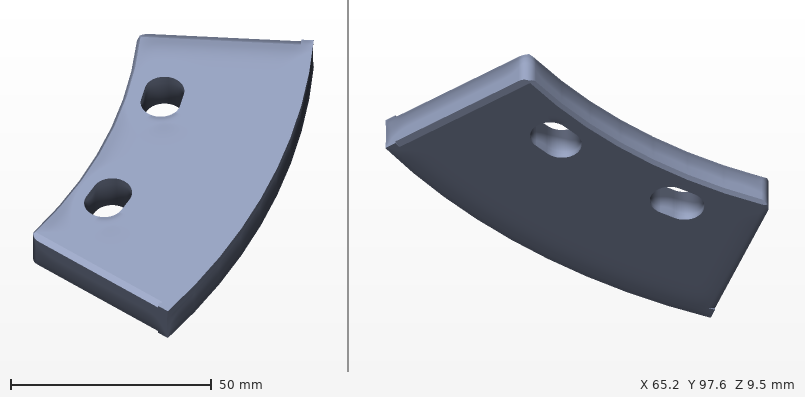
import cadquery as cq
import math

length = 97.6
thickness = 9.5
sweep_angle = 34.0
outer_radius = length / math.sin(math.radians(sweep_angle))
inner_radius = 130.5
half_thickness = thickness / 2

outer_groove_depth = 0.3
inner_chamfer = 0.9
corner_radius = 3.0

end_bevel_width = 1.8
end_bevel_height = 0.6
end_bevel_stop = 3.1

slot_radius = 140.1
slot_width = 10.0
slot_length = 14.2
slot_half_spacing = 7.8


def make_segment():
    """Revolved section with a chamfered inner face and a hollow outer face."""
    chamfer_radius = inner_radius + inner_chamfer
    chamfer_height = half_thickness - inner_chamfer
    return (
        cq.Workplane("XZ")
        .moveTo(chamfer_radius, -half_thickness)
        .lineTo(outer_radius, -half_thickness)
        .threePointArc((outer_radius - outer_groove_depth, 0), (outer_radius, half_thickness))
        .lineTo(chamfer_radius, half_thickness)
        .lineTo(inner_radius, chamfer_height)
        .lineTo(inner_radius, -chamfer_height)
        .close()
        .revolve(sweep_angle, (0, 0, 0), (0, 1, 0))
    )


def round_inner_corners(body):
    """Round the two upright corners between the inner face and the ends."""
    waste_start = inner_radius - corner_radius
    centre_x = math.sqrt((inner_radius + corner_radius) ** 2 - corner_radius ** 2)
    centre_angle = math.atan2(corner_radius, centre_x)
    inner_tangent = (inner_radius * math.cos(centre_angle), inner_radius * math.sin(centre_angle))
    diagonal = math.radians(225) + centre_angle / 2
    arc_middle = (
        centre_x + corner_radius * math.cos(diagonal),
        corner_radius + corner_radius * math.sin(diagonal),
    )
    waste = (
        cq.Workplane("XY", origin=(0, 0, -half_thickness))
        .moveTo(centre_x, 0)
        .threePointArc(arc_middle, inner_tangent)
        .lineTo(waste_start, inner_tangent[1])
        .lineTo(waste_start, 0)
        .close()
        .extrude(thickness)
    )
    return body.cut(waste).cut(mirror_to_far_end(waste))


def mirror_to_far_end(tool):
    """Mirror a tool at the first end onto the other end of the segment."""
    return tool.mirror("XZ").rotate((0, 0, 0), (0, 0, 1), sweep_angle)


def cut_end_bevels(body):
    """Bevel the top and bottom edges of both ends."""
    start = inner_radius - corner_radius
    bevel_length = outer_radius - end_bevel_stop - start
    top_wedge = (
        cq.Workplane("YZ", origin=(start, 0, 0))
        .moveTo(0, half_thickness)
        .lineTo(end_bevel_width, half_thickness)
        .lineTo(0, half_thickness - end_bevel_height)
        .close()
        .extrude(bevel_length)
    )
    for wedge in (top_wedge, top_wedge.mirror("XY")):
        body = body.cut(wedge).cut(mirror_to_far_end(wedge))
    return body


def cut_slots(body):
    """Through slots, each lying along the curve of the segment."""
    for side in (-1, 1):
        slot = (
            cq.Workplane("XY", origin=(0, 0, -half_thickness))
            .center(slot_radius, 0)
            .slot2D(slot_length, slot_width, 90)
            .extrude(thickness)
            .rotate((0, 0, 0), (0, 0, 1), sweep_angle / 2 + side * slot_half_spacing)
        )
        body = body.cut(slot)
    return body


result = cut_slots(cut_end_bevels(round_inner_corners(make_segment())))